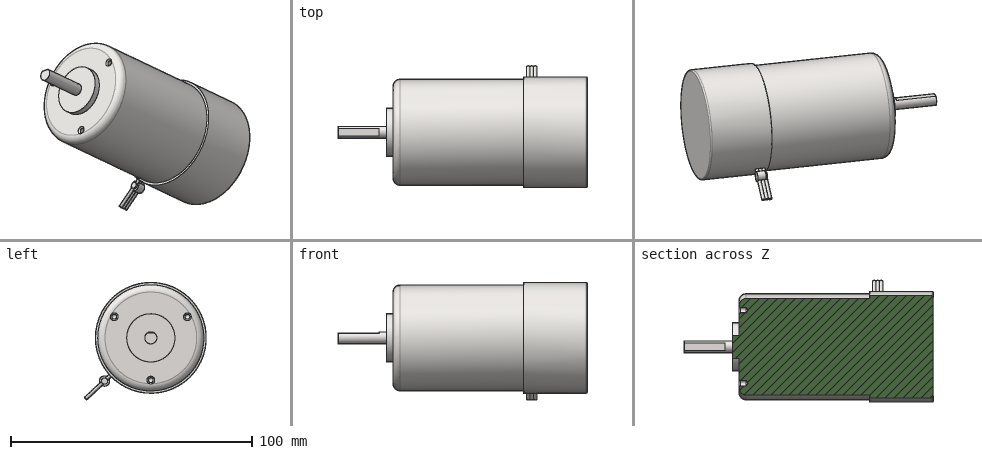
import cadquery as cq
import math


total_length = 103.2
body_radius = 22.0
body_nose_fillet = 3.0
cap_radius = 23.0
cap_length = 26.4
cap_edge_fillet = 0.6

shaft_radius = 2.5
shaft_length = 20.0
flat_height = 2.0
flat_length = 17.0
boss_radius = 10.0
boss_length = 2.7

boss_front = -boss_length
shaft_tip = boss_front - shaft_length
rear_end = shaft_tip + total_length
cap_front = rear_end - cap_length

hole_circle_radius = 17.5
hole_radius = 1.0
hole_depth = 3.0
hole_tip_angle = 120
hole_tip_length = hole_radius / math.tan(math.radians(hole_tip_angle / 2))
hole_mouth_radius = 1.6
hole_mouth_depth = hole_mouth_radius - hole_radius
hole_angles = (30, 150, 270)

wire_count = 3
wire_radius = 0.75
wire_pitch = 1.45
wire_angle = -43
wire_tip_radius = 37.0
wire_embedding = 2.0
wire_setback = 1.2
wire_root_radius = cap_radius - wire_embedding
first_wire_x = cap_front + wire_setback + wire_radius
last_wire_x = first_wire_x + (wire_count - 1) * wire_pitch

collar_radius = 2.15
collar_pin_radius = 1.3
collar_distance = 26.25


def cylinder_x(radius, start, end, y=0.0, z=0.0):
    """Cylinder parallel to X between two X stations."""
    base = cq.Workplane("YZ", origin=(start, y, z))
    return base.circle(radius).extrude(end - start)


def polar_yz(radius, angle):
    """Y and Z of a point at a distance from the axis and an angle from +Y."""
    radians = math.radians(angle)
    return radius * math.cos(radians), radius * math.sin(radians)


def make_housing():
    body = cylinder_x(body_radius, 0, rear_end).faces("<X").edges().fillet(body_nose_fillet)
    cap = cylinder_x(cap_radius, cap_front, rear_end).faces(">X").edges().fillet(cap_edge_fillet)
    boss = cylinder_x(boss_radius, boss_front, 0)
    return body.union(cap).union(boss)


def make_shaft():
    shaft = cylinder_x(shaft_radius, shaft_tip, boss_front)
    flat_cut = cq.Workplane("XY", origin=(shaft_tip, 0, flat_height)).box(
        flat_length, 2 * shaft_radius, shaft_radius, centered=(False, True, False)
    )
    return shaft.cut(flat_cut)


def make_mounting_hole(angle):
    """Blind drilled hole with a 45 degree countersunk mouth and a conical bottom."""
    profile = [
        (0, 0),
        (0, hole_mouth_radius),
        (hole_mouth_depth, hole_radius),
        (hole_depth, hole_radius),
        (hole_depth + hole_tip_length, 0),
    ]
    hole = cq.Workplane("XY").polyline(profile).close().revolve(360, (0, 0, 0), (1, 0, 0))
    y, z = polar_yz(hole_circle_radius, angle)
    return hole.translate((0, y, z))


def make_wire(x):
    direction = (0, *polar_yz(1, wire_angle))
    root = (x, *polar_yz(wire_root_radius, wire_angle))
    wire_plane = cq.Plane(origin=root, xDir=(1, 0, 0), normal=direction)
    return cq.Workplane(wire_plane).circle(wire_radius).extrude(wire_tip_radius - wire_root_radius)


def make_collar():
    y, z = polar_yz(collar_distance, wire_angle)
    collar_end = last_wire_x + wire_radius
    pin = cylinder_x(collar_pin_radius, first_wire_x - wire_radius, collar_end, y, z)
    return cylinder_x(collar_radius, first_wire_x, collar_end, y, z).union(pin)


result = make_housing().union(make_shaft())
for hole_angle in hole_angles:
    result = result.cut(make_mounting_hole(hole_angle))
for wire_index in range(wire_count):
    result = result.union(make_wire(first_wire_x + wire_index * wire_pitch))
result = result.union(make_collar())